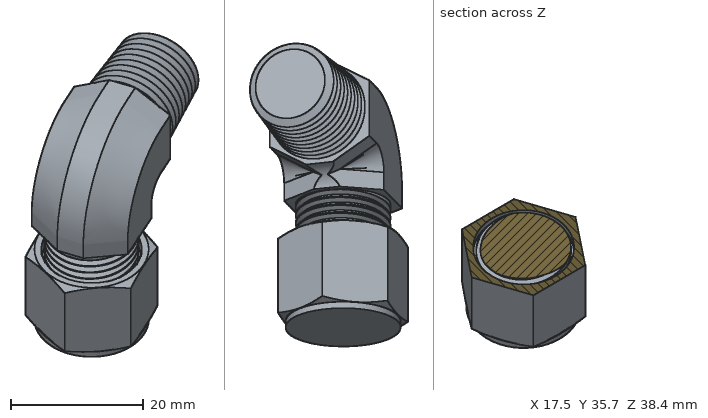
import cadquery as cq
import math


TOTAL_HEIGHT = 38.42
HEX_FLATS = 17.45

ELBOW_WIDTH = 15.9
CORNER_ACROSS = 5.8
CORNER_DEEP = 3.5
PIPE_LEG = 3.55
STEM_LEG = 2.8
BEND_ANGLE = 90
INNER_FILLET = 3.45
ELBOW_HALF = ELBOW_WIDTH / 2
FLAT_HALF = ELBOW_HALF - CORNER_ACROSS
PIPE_AXIS_Z = TOTAL_HEIGHT - ELBOW_HALF
BEND_Z = PIPE_AXIS_Z - ELBOW_HALF
BEND_Y = ELBOW_HALF
ELBOW_FACE_Y = BEND_Y + PIPE_LEG
ELBOW_BASE_Z = BEND_Z - STEM_LEG

PIPE_END_Y = 25.65
PIPE_TURNS = 10
PIPE_PITCH = (PIPE_END_Y - ELBOW_FACE_Y) / PIPE_TURNS
FIRST_CREST_RADIUS = 6.7
LAST_CREST_RADIUS = 7.5
PIPE_THREAD_DEPTH = 1.1
CREST_STEP = (LAST_CREST_RADIUS - FIRST_CREST_RADIUS) / (PIPE_TURNS - 1)

NUT_HEIGHT = 14.15
COLLAR_HEIGHT = 1.05
COLLAR_RADIUS = HEX_FLATS / 2
LAND_RADIUS = 8.65
CORNER_DROP = 0.6
HEX_CORNER_RADIUS = HEX_FLATS / math.sqrt(3)
HEX_TURN = 30
MOUTH_RADIUS = 7.6
MOUTH_DEPTH = 2.1

STEM_RADIUS = 7.2
STEM_SEAT_Z = 6.9
GROOVE_COUNT = 5
GROOVE_PITCH = 1.25
FIRST_GROOVE_Z = 18.4
GROOVE_DEPTH = 0.7
GROOVE_MOUTH = 1.08
GROOVE_ROOT = 0.3
GROOVE_RISE = GROOVE_PITCH
GROOVE_TILT = math.degrees(math.atan2(GROOVE_RISE, 2 * STEM_RADIUS))
CUTTER_MARGIN = 0.15


def chamfered_square(plane):
    """Cross-section of the elbow bar, on a plane whose local x is the part's X."""
    shoulder = ELBOW_HALF - CORNER_DEEP
    return cq.Workplane(plane).polyline([
        (FLAT_HALF, ELBOW_HALF),
        (ELBOW_HALF, shoulder),
        (ELBOW_HALF, -shoulder),
        (FLAT_HALF, -ELBOW_HALF),
        (-FLAT_HALF, -ELBOW_HALF),
        (-ELBOW_HALF, -shoulder),
        (-ELBOW_HALF, shoulder),
        (-FLAT_HALF, ELBOW_HALF),
    ]).close()


def ridge(plane, length):
    """Triangular bar that carries the chamfers of a leg on until they meet."""
    peak = FLAT_HALF * CORNER_DEEP / CORNER_ACROSS
    return (
        cq.Workplane(plane)
        .polyline([(-FLAT_HALF, 0), (FLAT_HALF, 0), (0, peak)])
        .close()
        .extrude(length)
    )


def make_inner_fillet():
    """Filling of the inner corner: two mitred ridges cut back to a round."""
    corner = (0, BEND_Y, BEND_Z)
    under_pipe_leg = ridge(cq.Plane(corner, xDir=(1, 0, 0), normal=(0, 1, 0)), PIPE_LEG)
    beside_stem_leg = ridge(cq.Plane(corner, xDir=(-1, 0, 0), normal=(0, 0, -1)), STEM_LEG)
    round_cutter = (
        cq.Workplane("YZ", origin=(-ELBOW_HALF, 0, 0))
        .center(BEND_Y + INNER_FILLET, BEND_Z - INNER_FILLET)
        .circle(INNER_FILLET)
        .extrude(ELBOW_WIDTH)
    )
    return under_pipe_leg.union(beside_stem_leg).cut(round_cutter)


def make_elbow():
    """Two straight legs, the quarter bend between them and the inner fillet."""
    pipe_leg = chamfered_square(
        cq.Plane((0, BEND_Y, PIPE_AXIS_Z), xDir=(1, 0, 0), normal=(0, 1, 0))
    ).extrude(PIPE_LEG)
    stem_leg = chamfered_square(
        cq.Plane((0, 0, ELBOW_BASE_Z), xDir=(1, 0, 0), normal=(0, 0, 1))
    ).extrude(STEM_LEG)
    bend = chamfered_square(
        cq.Plane((0, 0, BEND_Z), xDir=(1, 0, 0), normal=(0, 0, 1))
    ).revolve(BEND_ANGLE, (0, ELBOW_HALF), (-1, ELBOW_HALF))
    return pipe_leg.union(bend).union(stem_leg).union(make_inner_fillet())


def make_pipe_thread():
    """Tapered thread as a row of sharp rings turned about the pipe axis."""
    points = [(0, ELBOW_FACE_Y), (0, PIPE_END_Y)]
    for turn in range(PIPE_TURNS):
        crest_radius = FIRST_CREST_RADIUS + turn * CREST_STEP
        root_radius = crest_radius - CREST_STEP / 2 - PIPE_THREAD_DEPTH
        root_y = PIPE_END_Y - turn * PIPE_PITCH
        points.append((root_radius, root_y))
        points.append((crest_radius, root_y - PIPE_PITCH / 2))
    points.append((LAST_CREST_RADIUS + CREST_STEP / 2 - PIPE_THREAD_DEPTH, ELBOW_FACE_Y))
    return (
        cq.Workplane("XY", origin=(0, 0, PIPE_AXIS_Z))
        .polyline(points)
        .close()
        .revolve(360, (0, 0), (0, 1))
    )


def make_groove_cutter(center_z):
    """Ring with a trapezoid section, tilted about X around its own centre."""
    slope = (GROOVE_MOUTH - GROOVE_ROOT) / 2 / GROOVE_DEPTH
    half_root = GROOVE_ROOT / 2
    half_outer = GROOVE_MOUTH / 2 + slope * CUTTER_MARGIN
    root_radius = STEM_RADIUS - GROOVE_DEPTH
    outer_radius = STEM_RADIUS + CUTTER_MARGIN
    return (
        cq.Workplane("XZ")
        .polyline([
            (root_radius, -half_root),
            (outer_radius, -half_outer),
            (outer_radius, half_outer),
            (root_radius, half_root),
        ])
        .close()
        .revolve(360, (0, 0), (0, 1))
        .rotate((0, 0, 0), (1, 0, 0), GROOVE_TILT)
        .translate((0, 0, center_z))
    )


def make_stem():
    """Cylinder from the elbow down into the nut, grooved on its upper part."""
    stem = (
        cq.Workplane("XY", origin=(0, 0, STEM_SEAT_Z))
        .circle(STEM_RADIUS)
        .extrude(ELBOW_BASE_Z - STEM_SEAT_Z)
    )
    for index in range(GROOVE_COUNT):
        stem = stem.cut(make_groove_cutter(FIRST_GROOVE_Z - index * GROOVE_PITCH))
    return stem


def make_fitting_body():
    """Elbow with its pipe thread and stem."""
    return make_elbow().union(make_pipe_thread()).union(make_stem())


def make_nut():
    """Hexagon chamfered at both ends, on a round collar, with a stepped blind bore."""
    hexagon = (
        cq.Workplane("XY", origin=(0, 0, COLLAR_HEIGHT))
        .polygon(6, 2 * HEX_CORNER_RADIUS)
        .extrude(NUT_HEIGHT - COLLAR_HEIGHT)
        .rotate((0, 0, 0), (0, 0, 1), HEX_TURN)
    )
    corner_limit = (
        cq.Workplane("XZ")
        .polyline([
            (0, COLLAR_HEIGHT),
            (LAND_RADIUS, COLLAR_HEIGHT),
            (HEX_CORNER_RADIUS, COLLAR_HEIGHT + CORNER_DROP),
            (HEX_CORNER_RADIUS, NUT_HEIGHT - CORNER_DROP),
            (LAND_RADIUS, NUT_HEIGHT),
            (0, NUT_HEIGHT),
        ])
        .close()
        .revolve(360, (0, 0), (0, 1))
    )
    collar = cq.Workplane("XY").circle(COLLAR_RADIUS).extrude(COLLAR_HEIGHT)
    stem_bore = (
        cq.Workplane("XY", origin=(0, 0, STEM_SEAT_Z))
        .circle(STEM_RADIUS)
        .extrude(NUT_HEIGHT - STEM_SEAT_Z)
    )
    mouth = (
        cq.Workplane("XY", origin=(0, 0, NUT_HEIGHT - MOUTH_DEPTH))
        .circle(MOUTH_RADIUS)
        .extrude(MOUTH_DEPTH)
    )
    return hexagon.intersect(corner_limit).union(collar).cut(stem_bore).cut(mouth)


fitting_body = make_fitting_body()
nut = make_nut()
result = cq.Compound.makeCompound([fitting_body.solids().val(), nut.solids().val()])